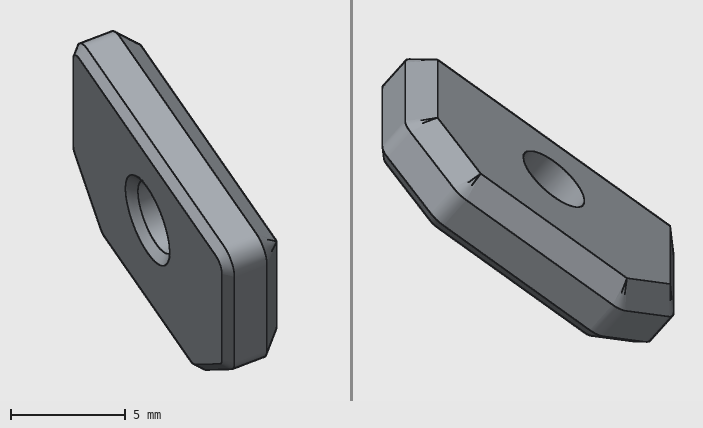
import cadquery as cq

width = 15.0
thickness = 3.0
height = 10.0
corner_cut = 3.0
back_chamfer = 1.0
corner_radius = back_chamfer
front_chamfer = 0.4

hole_diameter = 3.4
hole_below_top = 4.5
countersink_depth = front_chamfer

half_width = width / 2


def plate_blank():
    """Plate with its front face at Y = 0, rounded corners and a chamfered front rim."""
    outline = [
        (-half_width + corner_cut, 0),
        (half_width - corner_cut, 0),
        (half_width, corner_cut),
        (half_width, height),
        (-half_width, height),
        (-half_width, corner_cut),
    ]
    blank = cq.Workplane("XZ").polyline(outline).close().extrude(-thickness)
    return blank.edges("|Y").fillet(corner_radius).faces("<Y").chamfer(front_chamfer)


def chamfer_back(plate):
    """Chamfer the back rim, narrowing each corner round to a point."""
    return plate.faces(">Y").chamfer(back_chamfer)


def hole_cutter():
    """Through hole with a 45 degree countersink at the front."""
    radius = hole_diameter / 2
    half_section = [
        (0, 0),
        (radius + countersink_depth, 0),
        (radius, countersink_depth),
        (radius, thickness),
        (0, thickness),
    ]
    cutter = cq.Workplane("XY").polyline(half_section).close().revolve(360, (0, 0, 0), (0, 1, 0))
    return cutter.translate((0, 0, height - hole_below_top))


result = chamfer_back(plate_blank()).cut(hole_cutter())